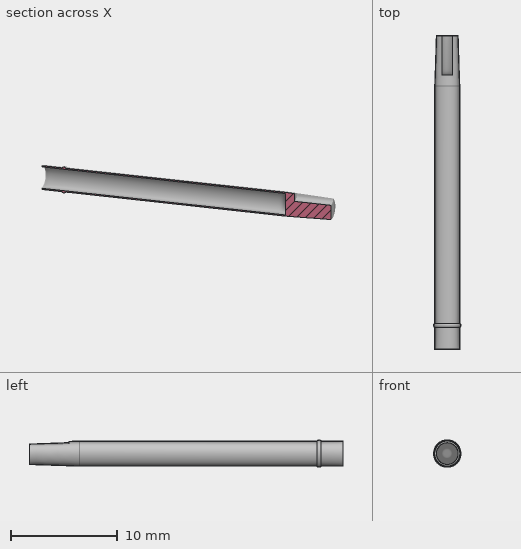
import cadquery as cq

length = 29.4
body_radius = 1.18
tip_radius = 1.025
taper_length = 4.7

bore_radius = 1.02
bore_depth = length - taper_length

bead_radius = 1.28
bead_width = 0.4
bead_center = 2.25

groove_width = 1.0
groove_length = 3.7
groove_axis_z = 0.9

front_y = -length / 2
tip_y = front_y + length
taper_y = tip_y - taper_length
bead_y = front_y + bead_center


def make_outside():
    return (
        cq.Workplane("YZ")
        .moveTo(front_y, 0)
        .lineTo(front_y, body_radius)
        .lineTo(bead_y - bead_width / 2, body_radius)
        .threePointArc((bead_y, bead_radius), (bead_y + bead_width / 2, body_radius))
        .lineTo(taper_y, body_radius)
        .lineTo(tip_y, tip_radius)
        .lineTo(tip_y, 0)
        .close()
        .revolve(360, (0, 0, 0), (1, 0, 0))
    )


def make_bore():
    return (
        cq.Workplane("XZ", origin=(0, front_y, 0))
        .circle(bore_radius)
        .extrude(-bore_depth)
    )


def make_groove():
    half_width = groove_width / 2
    return (
        cq.Workplane("XZ", origin=(0, tip_y, 0))
        .moveTo(-half_width, body_radius)
        .lineTo(-half_width, groove_axis_z)
        .threePointArc((0, groove_axis_z - half_width), (half_width, groove_axis_z))
        .lineTo(half_width, body_radius)
        .close()
        .extrude(groove_length)
    )


result = make_outside().cut(make_bore()).cut(make_groove())